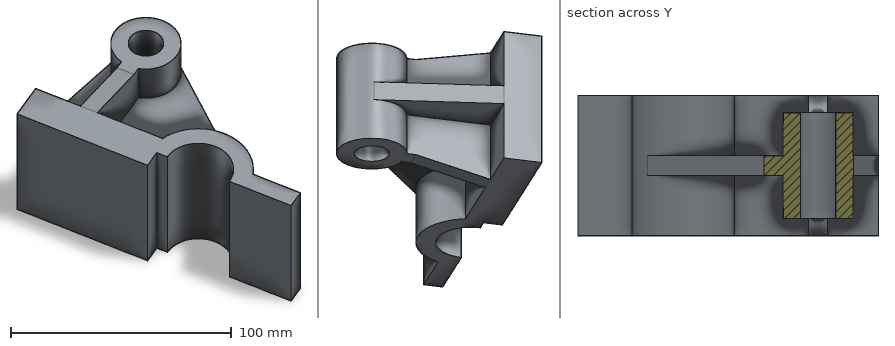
import cadquery as cq
import math

length = 136.3
height = 63.8
pad_length = 67.2
pad_depth = 17.9
flange_thickness = 9.0
flange_front = pad_depth - flange_thickness

saddle_x = 88.6
saddle_bore_radius = 16.0
saddle_outer_radius = saddle_bore_radius + flange_thickness
saddle_center = (saddle_x, flange_front)

boss_center = (27.4, 72.5)
boss_radius = 16.0
boss_bore_radius = boss_radius / 2
boss_height = 48.0

web_thickness = 9.0
rib_thickness = 8.7
rib_taper_end_y = 53.0


def block(x0, x1, y0, y1, thickness):
    """Rectangular block centred on the mid-plane Z = 0."""
    return cq.Workplane("XY").box(
        x1 - x0, y1 - y0, thickness, centered=(False, False, True)
    ).translate((x0, y0, 0))


def cylinder(center, radius, thickness):
    """Vertical cylinder centred on the mid-plane Z = 0."""
    disc = cq.Workplane("XY", origin=(0, 0, -thickness / 2)).center(*center).circle(radius)
    return disc.extrude(thickness)


def on_circle(center, radius, angle):
    return (center[0] + radius * math.cos(angle), center[1] + radius * math.sin(angle))


def make_base():
    pad = block(0, pad_length, 0, pad_depth, height)
    flange = block(0, length, flange_front, pad_depth, height)
    saddle = cylinder(saddle_center, saddle_outer_radius, height)
    behind_flange = block(0, length, flange_front, flange_front + saddle_outer_radius, height)
    return pad.union(flange).union(saddle.intersect(behind_flange))


def make_web():
    dx = saddle_center[0] - boss_center[0]
    dy = saddle_center[1] - boss_center[1]
    radius_ratio = (boss_radius - saddle_outer_radius) / math.hypot(dx, dy)
    right_angle = math.atan2(dy, dx) + math.acos(radius_ratio)
    boss_right = on_circle(boss_center, boss_radius, right_angle)
    saddle_right = on_circle(saddle_center, saddle_outer_radius, right_angle)

    corner = (0, pad_depth)
    dx = corner[0] - boss_center[0]
    dy = corner[1] - boss_center[1]
    left_angle = math.atan2(dy, dx) - math.acos(boss_radius / math.hypot(dx, dy))
    boss_left = on_circle(boss_center, boss_radius, left_angle)

    outline = [corner, boss_left, boss_center, boss_right, saddle_right, saddle_center, (saddle_x, pad_depth)]
    web = cq.Workplane("XY", origin=(0, 0, -web_thickness / 2)).polyline(outline).close()
    return web.extrude(web_thickness)


def make_rib():
    half_profile = [
        (pad_depth, height / 2),
        (rib_taper_end_y, boss_height / 2),
        (boss_center[1], boss_height / 2),
    ]
    mirrored = [(y, -z) for y, z in reversed(half_profile)]
    rib_left = boss_center[0] - rib_thickness / 2
    rib = cq.Workplane("YZ", origin=(rib_left, 0, 0)).polyline(half_profile + mirrored).close()
    return rib.extrude(rib_thickness)


body = make_base().union(cylinder(boss_center, boss_radius, boss_height))
body = body.union(make_web()).union(make_rib())
body = body.cut(cylinder(boss_center, boss_bore_radius, height))
result = body.cut(cylinder(saddle_center, saddle_bore_radius, height))